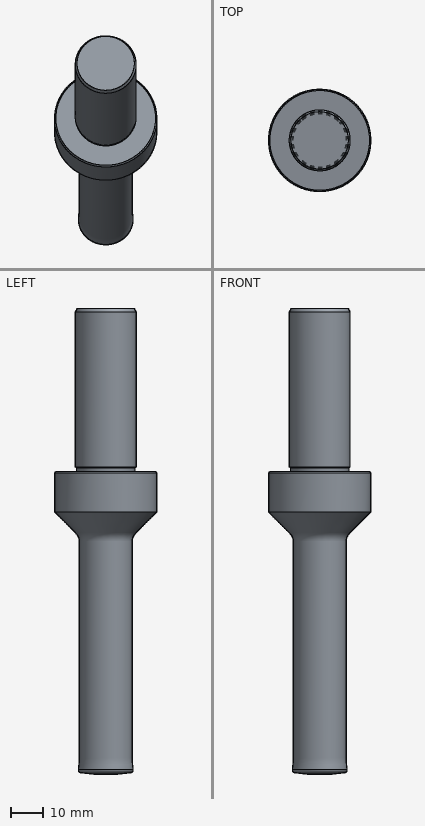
import cadquery as cq
import math

TOTAL_LENGTH = 144.6
SHANK_BOTTOM = 95.0
COLLAR_TOP = 94.0
COLLAR_BOTTOM = 81.4
FLARE_TOP = 4.9
FLARE_BOTTOM = 3.2
JOINT_HEIGHT = 1.6
TIP_ROUND_TOP = 1.23
TIP_ROUND_BOTTOM = 0.5

SHANK_DIAMETER = 19.0
NECK_DIAMETER = 18.2
COLLAR_DIAMETER = 31.8
STEM_DIAMETER = 16.5
TIP_DIAMETER = 17.0
TIP_BEVEL_DIAMETER = 15.3
TIP_FLAT_DIAMETER = 6.7

SHANK_TOP_CHAMFER_HEIGHT = 1.2
SHANK_TOP_CHAMFER_INSET = 0.6
SHANK_BOTTOM_CHAMFER = 0.5
COLLAR_CHAMFER = 0.5
CONE_ANGLE = math.radians(45)
CONE_FILLET = 3.5
TIP_ROUND_RADIUS = 0.94

SHANK_RADIUS = SHANK_DIAMETER / 2
NECK_RADIUS = NECK_DIAMETER / 2
COLLAR_RADIUS = COLLAR_DIAMETER / 2
STEM_RADIUS = STEM_DIAMETER / 2
TIP_RADIUS = TIP_DIAMETER / 2
TIP_BEVEL_RADIUS = TIP_BEVEL_DIAMETER / 2
TIP_FLAT_RADIUS = TIP_FLAT_DIAMETER / 2


def make_pin():
    """Shank, undercut neck, collar with conical underside, and flared stem, turned as one body."""
    fillet_center_x = STEM_RADIUS + CONE_FILLET
    cone_end_x = fillet_center_x - CONE_FILLET * math.cos(CONE_ANGLE)
    cone_end_z = COLLAR_BOTTOM - (COLLAR_RADIUS - cone_end_x) / math.tan(CONE_ANGLE)
    fillet_center_z = cone_end_z - CONE_FILLET * math.sin(CONE_ANGLE)
    fillet_middle = (
        fillet_center_x - CONE_FILLET * math.cos(CONE_ANGLE / 2),
        fillet_center_z + CONE_FILLET * math.sin(CONE_ANGLE / 2),
    )

    flare_height = FLARE_TOP - FLARE_BOTTOM
    taper_height = FLARE_BOTTOM - JOINT_HEIGHT
    flare_slope = (TIP_RADIUS - STEM_RADIUS) / (taper_height + flare_height / 2)
    flare_end_x = TIP_RADIUS - flare_slope * taper_height
    flare_angle = math.atan(flare_slope)
    flare_arc_radius = flare_height / math.sin(flare_angle)
    flare_middle = (
        STEM_RADIUS + flare_arc_radius * (1 - math.cos(flare_angle / 2)),
        FLARE_TOP - flare_arc_radius * math.sin(flare_angle / 2),
    )

    return (
        cq.Workplane("XZ")
        .moveTo(0, JOINT_HEIGHT)
        .lineTo(TIP_RADIUS, JOINT_HEIGHT)
        .lineTo(flare_end_x, FLARE_BOTTOM)
        .threePointArc(flare_middle, (STEM_RADIUS, FLARE_TOP))
        .lineTo(STEM_RADIUS, fillet_center_z)
        .threePointArc(fillet_middle, (cone_end_x, cone_end_z))
        .lineTo(COLLAR_RADIUS, COLLAR_BOTTOM)
        .lineTo(COLLAR_RADIUS, COLLAR_TOP - COLLAR_CHAMFER)
        .lineTo(COLLAR_RADIUS - COLLAR_CHAMFER, COLLAR_TOP)
        .lineTo(NECK_RADIUS, COLLAR_TOP)
        .lineTo(NECK_RADIUS, SHANK_BOTTOM)
        .lineTo(SHANK_RADIUS - SHANK_BOTTOM_CHAMFER, SHANK_BOTTOM)
        .lineTo(SHANK_RADIUS, SHANK_BOTTOM + SHANK_BOTTOM_CHAMFER)
        .lineTo(SHANK_RADIUS, TOTAL_LENGTH - SHANK_TOP_CHAMFER_HEIGHT)
        .lineTo(SHANK_RADIUS - SHANK_TOP_CHAMFER_INSET, TOTAL_LENGTH)
        .lineTo(0, TOTAL_LENGTH)
        .close()
        .revolve(360, (0, 0, 0), (0, 1, 0))
    )


def make_tip():
    """Thin end disc with a flat center, a shallow beveled face and a rounded rim."""
    return (
        cq.Workplane("XZ")
        .lineTo(TIP_FLAT_RADIUS, 0)
        .lineTo(TIP_BEVEL_RADIUS, TIP_ROUND_BOTTOM)
        .radiusArc((TIP_RADIUS, TIP_ROUND_TOP), -TIP_ROUND_RADIUS)
        .lineTo(TIP_RADIUS, JOINT_HEIGHT)
        .lineTo(0, JOINT_HEIGHT)
        .close()
        .revolve(360, (0, 0, 0), (0, 1, 0))
    )


pin = make_pin()
tip = make_tip()
result = cq.Compound.makeCompound([pin.val(), tip.val()])